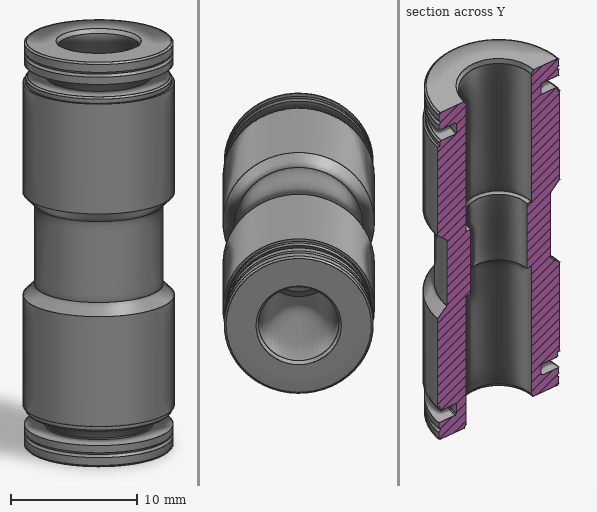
import cadquery as cq
import math

total_length = 33.5
half_length = total_length / 2

body_diameter = 12.0
waist_diameter = 10.2
waist_length = 6.7
body_end_gap = 2.9
body_step_diameter = 11.6
body_step_length = 0.5
body_step_chamfer = 0.15

collar_diameter = 11.8
collar_length = 1.8
collar_chamfer = 0.15
groove_center = 1.0
groove_depth = 0.2
neck_diameter = 8.35
neck_chamfer = 0.1

passage_diameter = 5.5
socket_diameter = 6.35
socket_depth = half_length - waist_length / 2
mouth_diameter = 6.75
mouth_half_angle = 30.0


def revolve_about_z(profile):
    """Turn a closed XZ profile a full revolution about the Z axis."""
    return profile.revolve(360, (0, 0, 0), (0, 1, 0))


def make_waist():
    """Plain cylinder between the two thick ends."""
    return (
        cq.Workplane("XY", origin=(0, 0, -waist_length / 2))
        .circle(waist_diameter / 2)
        .extrude(waist_length)
    )


def make_upper_end():
    """Solid upper end: taper, thick body, stepped rim, neck and collar."""
    waist_radius = waist_diameter / 2
    body_radius = body_diameter / 2
    taper_start = waist_length / 2
    taper_end = taper_start + body_radius - waist_radius

    step_radius = body_step_diameter / 2
    body_top = half_length - body_end_gap
    step_bottom = body_top - body_step_length

    neck_radius = neck_diameter / 2
    collar_radius = collar_diameter / 2
    collar_bottom = half_length - collar_length
    groove_height = half_length - groove_center

    profile = (
        cq.Workplane("XZ")
        .moveTo(0, taper_start)
        .lineTo(waist_radius, taper_start)
        .lineTo(body_radius, taper_end)
        .lineTo(body_radius, step_bottom)
        .lineTo(step_radius, step_bottom)
        .lineTo(step_radius, body_top - body_step_chamfer)
        .lineTo(step_radius - body_step_chamfer, body_top)
        .lineTo(neck_radius, body_top)
        .lineTo(neck_radius, collar_bottom - neck_chamfer)
        .lineTo(neck_radius + neck_chamfer, collar_bottom)
        .lineTo(collar_radius, collar_bottom)
        .lineTo(collar_radius, groove_height - groove_depth)
        .lineTo(collar_radius - groove_depth, groove_height)
        .lineTo(collar_radius, groove_height + groove_depth)
        .lineTo(collar_radius, half_length - collar_chamfer)
        .lineTo(collar_radius - collar_chamfer, half_length)
        .lineTo(0, half_length)
        .close()
    )
    return revolve_about_z(profile)


def make_upper_socket():
    """Cutter for the tube socket and its conical mouth at the upper end."""
    socket_radius = socket_diameter / 2
    mouth_radius = mouth_diameter / 2
    socket_bottom = half_length - socket_depth
    mouth_depth = (mouth_radius - socket_radius) / math.tan(math.radians(mouth_half_angle))

    profile = (
        cq.Workplane("XZ")
        .moveTo(0, socket_bottom)
        .lineTo(socket_radius, socket_bottom)
        .lineTo(socket_radius, half_length - mouth_depth)
        .lineTo(mouth_radius, half_length)
        .lineTo(0, half_length)
        .close()
    )
    return revolve_about_z(profile)


def make_passage():
    """Cutter for the small passage running through the whole part."""
    return (
        cq.Workplane("XY", origin=(0, 0, -half_length))
        .circle(passage_diameter / 2)
        .extrude(total_length)
    )


upper_end = make_upper_end().cut(make_upper_socket())
lower_end = upper_end.mirror("XY")
result = make_waist().union(upper_end).union(lower_end).cut(make_passage())